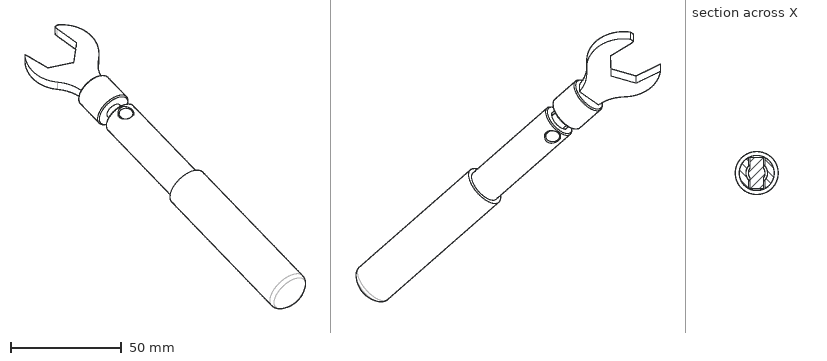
import cadquery as cq
import math

total_length = 189.5

jaw_thickness = 5.3
jaw_radius = 33.5 / 2
jaw_center_x = 14.4
blend_radius = 19.0
blend_center_x = 40.4
upper_tip = (0.0, 6.8)
upper_flat_start = (1.5, 6.8)
upper_corner = (13.35, 9.0)
throat = (21.7, 1.1)
lower_corner = (17.2, -10.0)
lower_tip_x = 4.7

collar_start = 37.9
collar_end = 53.2
collar_diameter = 17.2
neck_diameter = 7.5

shaft_start = 57.8
shaft_diameter = 16.0
grip_start = 108.5
grip_diameter = 19.5
dome_radius = 12.7
dome_edge_radius = 2.8
edge_chamfer = 0.5

pin_x = 62.5
pin_diameter = 6.3
cross_hole_diameter = 7.2
bore_diameter = 9.7
neck_end = pin_x + neck_diameter / 2
bore_end = pin_x + bore_diameter / 2


def x_cylinder(start, end, diameter):
    return cq.Workplane("YZ", origin=(start, 0, 0)).circle(diameter / 2).extrude(end - start)


def jaw_circle_y(x):
    return math.sqrt(jaw_radius**2 - (x - jaw_center_x) ** 2)


def make_jaw():
    center_gap = jaw_radius + blend_radius
    blend_dx = blend_center_x - jaw_center_x
    blend_center_y = math.sqrt(center_gap**2 - blend_dx**2)
    tangent_x = jaw_center_x + jaw_radius * blend_dx / center_gap
    tangent_y = jaw_radius * blend_center_y / center_gap

    def flank_y(x):
        return blend_center_y - math.sqrt(blend_radius**2 - (x - blend_center_x) ** 2)

    flank_middle_x = (tangent_x + collar_start) / 2
    flank_middle_y = flank_y(flank_middle_x)
    root_y = flank_y(collar_start)
    return (
        cq.Workplane("XY", origin=(0, 0, -jaw_thickness / 2))
        .moveTo(*upper_tip)
        .lineTo(upper_tip[0], jaw_circle_y(upper_tip[0]))
        .threePointArc((jaw_center_x, jaw_radius), (tangent_x, tangent_y))
        .threePointArc((flank_middle_x, flank_middle_y), (collar_start, root_y))
        .lineTo(collar_start, -root_y)
        .threePointArc((flank_middle_x, -flank_middle_y), (tangent_x, -tangent_y))
        .threePointArc((jaw_center_x, -jaw_radius), (lower_tip_x, -jaw_circle_y(lower_tip_x)))
        .lineTo(*lower_corner)
        .lineTo(*throat)
        .lineTo(*upper_corner)
        .lineTo(*upper_flat_start)
        .close()
        .extrude(jaw_thickness)
    )


def make_collar():
    return x_cylinder(collar_start, collar_end, collar_diameter).faces("<X or >X").chamfer(edge_chamfer)


def make_neck():
    return x_cylinder(collar_end, neck_end, neck_diameter)


def make_shaft():
    return x_cylinder(shaft_start, grip_start, shaft_diameter).faces("<X").chamfer(edge_chamfer)


def make_grip():
    grip_radius = grip_diameter / 2
    dome_center_x = total_length - dome_radius
    edge_center_y = grip_radius - dome_edge_radius
    tangent_angle = math.asin(edge_center_y / (dome_radius - dome_edge_radius))
    edge_center_x = dome_center_x + (dome_radius - dome_edge_radius) * math.cos(tangent_angle)
    edge_middle_angle = (tangent_angle + math.pi / 2) / 2

    def dome_point(angle):
        return (dome_center_x + dome_radius * math.cos(angle), dome_radius * math.sin(angle))

    edge_middle = (
        edge_center_x + dome_edge_radius * math.cos(edge_middle_angle),
        edge_center_y + dome_edge_radius * math.sin(edge_middle_angle),
    )
    return (
        cq.Workplane("XY")
        .moveTo(grip_start, 0)
        .lineTo(grip_start, grip_radius)
        .lineTo(edge_center_x, grip_radius)
        .threePointArc(edge_middle, dome_point(tangent_angle))
        .threePointArc(dome_point(tangent_angle / 2), (total_length, 0))
        .close()
        .revolve(360, (0, 0, 0), (1, 0, 0))
    )


def make_cross_cylinder(diameter, length):
    return (
        cq.Workplane("XY", origin=(pin_x, 0, -length / 2))
        .circle(diameter / 2)
        .extrude(length)
    )


def make_head():
    pin_length = math.sqrt(shaft_diameter**2 - cross_hole_diameter**2)
    pin = make_cross_cylinder(pin_diameter, pin_length)
    return make_jaw().union(make_collar()).union(make_neck()).union(pin)


def make_handle():
    bore = x_cylinder(shaft_start, bore_end, bore_diameter)
    cross_hole = make_cross_cylinder(cross_hole_diameter, shaft_diameter)
    return make_shaft().union(make_grip()).cut(bore).cut(cross_hole)


head = make_head()
handle = make_handle()

result = cq.Compound.makeCompound([head.val(), handle.val()])